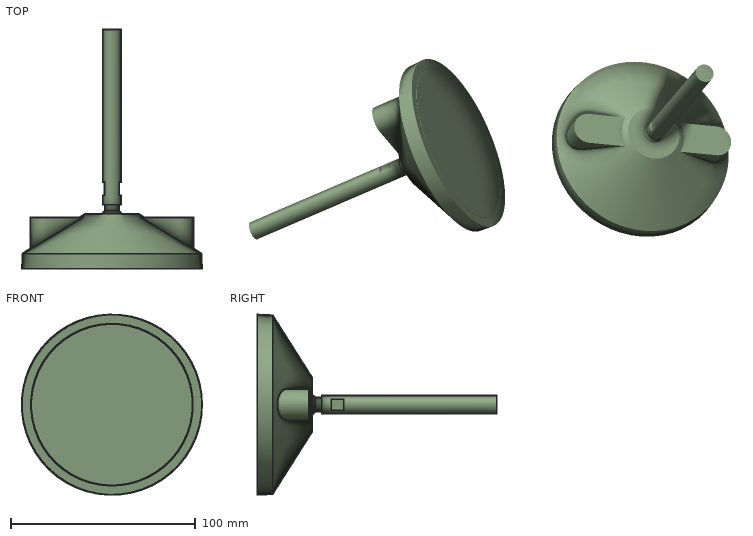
import cadquery as cq
import math

total_length = 130.0

rim_diameter = 98.0
rim_back_diameter = 97.2
rim_thickness = 8.3
cone_top_diameter = 29.0
cone_top_y = 29.9

groove_outer_diameter = 88.0
groove_inner_diameter = 87.5
groove_depth = 0.3

bar_length = 88.7
bar_width = 16.6
bar_top_y = 28.0

rod_diameter = 10.0
neck_diameter = 7.8
ball_diameter = 12.5
neck_start_y = 31.5
neck_end_y = 35.0

flat_spacing = 8.0
flat_start_y = 40.0
flat_length = 7.0


def make_turned_body():
    """Revolve the disc, cone, neck and rod in one profile."""
    profile = [
        (0, 0),
        (rim_diameter / 2, 0),
        (rim_back_diameter / 2, rim_thickness),
        (cone_top_diameter / 2, cone_top_y),
        (neck_diameter / 2, cone_top_y),
        (neck_diameter / 2, neck_end_y),
        (rod_diameter / 2, neck_end_y),
        (rod_diameter / 2, total_length),
        (0, total_length),
    ]
    return cq.Workplane("XY").polyline(profile).close().revolve(360, (0, 0, 0), (0, 1, 0))


def make_ball():
    """Ball centred on the axis, meeting the neck surface at neck_start_y."""
    center_to_neck = math.sqrt((ball_diameter / 2) ** 2 - (neck_diameter / 2) ** 2)
    return cq.Workplane("XY").sphere(ball_diameter / 2).translate((0, neck_start_y - center_to_neck, 0))


def make_cross_bar():
    """Round-ended bar along X, started inside the rim so that it joins the cone."""
    bar_start_y = rim_thickness / 2
    return (
        cq.Workplane("XZ", origin=(0, bar_start_y, 0))
        .slot2D(bar_length, bar_width)
        .extrude(bar_start_y - bar_top_y)
    )


def make_ring_groove():
    """Thin ring to cut into the flat face."""
    return (
        cq.Workplane("XZ")
        .circle(groove_outer_diameter / 2)
        .circle(groove_inner_diameter / 2)
        .extrude(-groove_depth)
    )


def make_flat_cutter(side):
    """Block that cuts one wrench flat on the given X side (+1 or -1) of the rod."""
    center_x = side * (flat_spacing + rod_diameter) / 2
    center_y = flat_start_y + flat_length / 2
    return (
        cq.Workplane("XY")
        .box(rod_diameter, flat_length, rod_diameter)
        .translate((center_x, center_y, 0))
    )


result = make_turned_body().union(make_ball()).union(make_cross_bar()).cut(make_ring_groove())
for side in (-1, 1):
    result = result.cut(make_flat_cutter(side))